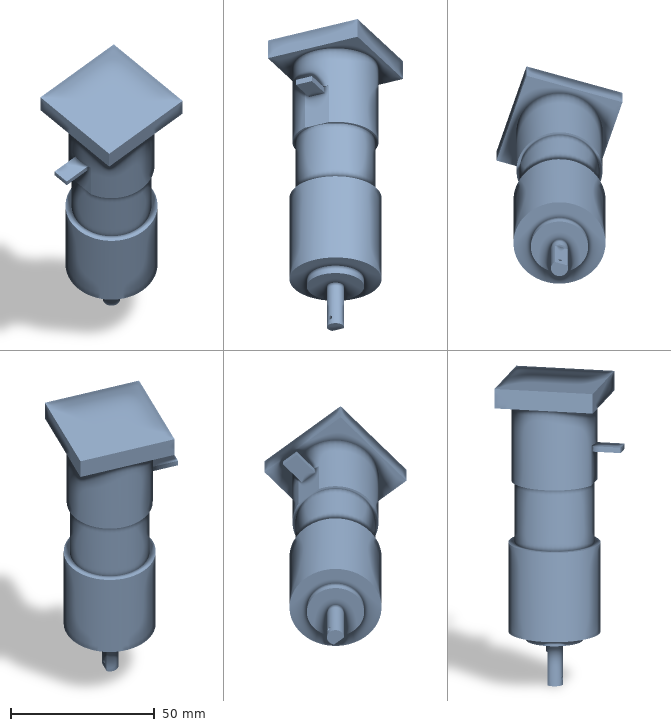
import cadquery as cq
import math

total_height = 109.0

plate_side = 35.0
plate_thickness = 7.0

shaft_diameter = 6.0
shaft_length = 16.0
boss_diameter = 20.0
boss_height = 2.9
gearbox_diameter = 32.0
gearbox_height = 32.0
neck_diameter = 27.8
neck_height = 22.0
body_diameter = 30.0

shaft_flat_length = 12.0
shaft_flat_offset = 2.0
cross_hole_diameter = 1.4
cross_hole_angle = -10
cross_hole_z = 2.5

body_flat_width = 9.5
body_flat_height = 14.4
tab_width = 6.2
tab_thickness = 2.0
tab_length = 10.0
tab_gap_below_flat_top = 0.7

gearbox_bottom = shaft_length + boss_height
neck_bottom = gearbox_bottom + gearbox_height
body_bottom = neck_bottom + neck_height
plate_bottom = total_height - plate_thickness
body_flat_y = -math.sqrt((body_diameter / 2) ** 2 - (body_flat_width / 2) ** 2)
tab_bottom = body_bottom + body_flat_height - tab_gap_below_flat_top - tab_thickness


def cylinder(diameter, bottom, top):
    return cq.Workplane("XY").workplane(offset=bottom).circle(diameter / 2).extrude(top - bottom)


def block(width, y_start, y_end, bottom, height):
    """Box centred on X, running between two Y positions."""
    return (
        cq.Workplane("XY")
        .box(width, y_end - y_start, height, centered=(True, False, False))
        .translate((0, y_start, bottom))
    )


def make_shaft():
    shaft = cylinder(shaft_diameter, 0, shaft_length)
    flat_cut = block(shaft_diameter, shaft_flat_offset, shaft_diameter, 0, shaft_flat_length)
    cross_hole = (
        cq.Workplane("XZ")
        .center(0, cross_hole_z)
        .circle(cross_hole_diameter / 2)
        .extrude(shaft_diameter, both=True)
        .rotate((0, 0, 0), (0, 0, 1), cross_hole_angle)
    )
    return shaft.cut(flat_cut).cut(cross_hole)


def make_body():
    body = cylinder(body_diameter, body_bottom, plate_bottom)
    flat_cut = block(body_diameter, -body_diameter, body_flat_y, body_bottom, body_flat_height)
    tab = block(tab_width, body_flat_y - tab_length, 0, tab_bottom, tab_thickness)
    return body.cut(flat_cut).union(tab)


def make_plate():
    return block(plate_side, -plate_side / 2, plate_side / 2, plate_bottom, plate_thickness)


result = (
    make_shaft()
    .union(cylinder(boss_diameter, shaft_length, gearbox_bottom))
    .union(cylinder(gearbox_diameter, gearbox_bottom, neck_bottom))
    .union(cylinder(neck_diameter, neck_bottom, body_bottom))
    .union(make_body())
    .union(make_plate())
)